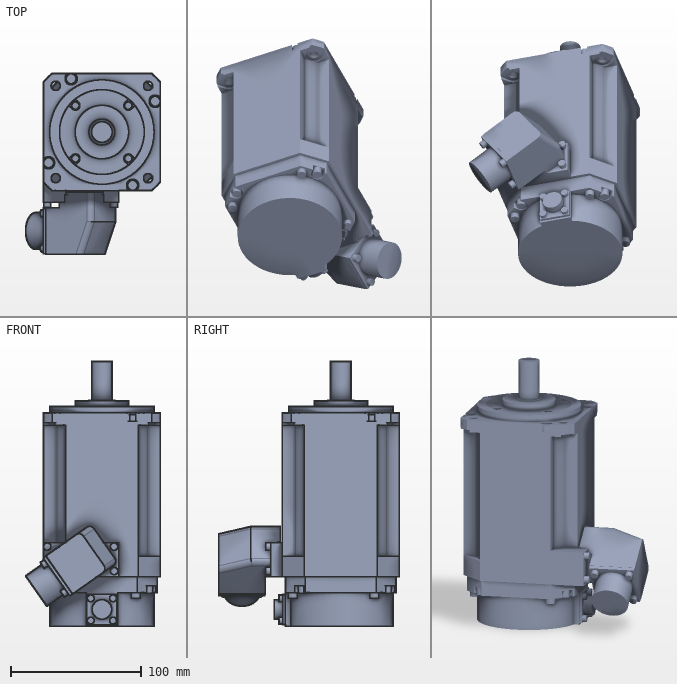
import cadquery as cq
import math

total_height = 203.5
frame_size = 90.0
frame_half = frame_size / 2
shaft_radius = 8.0
collar_radius = 10.0
boss_radius = 20.5
pilot_radius = 40.0
cover_radius = pilot_radius
frame_corner_radius = 59.0

cover_top = 25.8
rear_plate_top = 38.0
frame_top = 163.8
pilot_top = 169.0
boss_top = 173.2
collar_top = 173.8

rear_plate_size = 85.0
rear_plate_half = rear_plate_size / 2
rear_plate_chamfer = 15.3

pocket_leg = 17.0
pocket_top = 154.5
pocket_bottom = 53.7
pocket_fillet = 1.6
stator_radius = frame_half
foot_chamfer = pocket_leg

mount_offset = 35.5
mount_radius = 3.5
spot_radius = 6.3
spot_top = 156.3

flange_screw_at = (23.6, -41.0)
counterbore_radius = 4.7
counterbore_floor = 157.5
flange_head_radius = 3.9
flange_head_height = 5.0

disc_radius = 32.5
disc_recess = 0.5
disc_screw_circle = 28.7
disc_slot_radius = 3.5
disc_slot_depth = 1.2
disc_head_radius = 2.8
disc_head_height = 0.6

notch_screw_at = (35.5, -29.0)
notch_radius = 4.9
notch_top = 31.1
rear_head_radius = 3.5
notch_head_bottom = 25.5
hanging_screw_at = (36.8, 25.8)
hanging_head_bottom = 21.5

signal_block_width = 24.0
signal_block_face = -rear_plate_half
signal_plate_size = 23.2
signal_plate_face = -44.5
signal_z = 13.0
signal_plug_radius = 7.5
signal_plug_face = -51.3
signal_screw_offset = 8.5
signal_head_radius = 2.6
signal_head_face = -47.6

base_right = 13.0
base_top = 64.3
base_face = -54.0
base_screw_x = (-42.0, 9.4)
base_screw_z = (42.5, 61.3)
head_radius = 2.8
head_height = 3.9

elbow_tilt = 35.0
elbow_origin = (-32.8, 0, 39.5)
elbow_width = 35.8
elbow_back = -58.0
elbow_front = elbow_back - elbow_width
elbow_axis_y = (elbow_back + elbow_front) / 2
elbow_length = 42.3
elbow_front_length = 32.4
slope_start_y = -69.0
neck_left = -32.8
neck_back = -46.4
neck_clearance = 0.6
neck_clearance_depth = 1.6
elbow_fillet = 4.0
elbow_plate_size = 35.5
elbow_plate_thickness = 2.6
plug_radius = 14.2
plug_length = 19.0
plug_screw_offset = 13.5


def cylinder_z(radius, bottom, top, at=(0, 0)):
    return cq.Workplane("XY", origin=(at[0], at[1], bottom)).circle(radius).extrude(top - bottom)


def cylinder_y(radius, back, front, x, z):
    """Cylinder running from y = back towards -Y, to y = front."""
    return cq.Workplane("XZ", origin=(x, back, z)).circle(radius).extrude(back - front)


def box_between(low, high):
    size = [b - a for a, b in zip(low, high)]
    return cq.Workplane("XY").box(*size, centered=False).translate(low)


def square_bar(size, bottom, top):
    return cq.Workplane("XY", origin=(0, 0, bottom)).rect(size, size).extrude(top - bottom)


def turned(shape, quarter):
    return shape.rotate((0, 0, 0), (0, 0, 1), 90 * quarter)


def open_slot(at, radius, length, angle, bottom, top):
    """Slot with one round end at the given point, running outwards at the given angle."""
    slot = cq.Workplane("XY", origin=(0, 0, bottom)).rect(length, 2 * radius).extrude(top - bottom)
    slot = slot.translate((length / 2, 0, 0)).union(cylinder_z(radius, bottom, top))
    return slot.rotate((0, 0, 0), (0, 0, 1), angle).translate((at[0], at[1], 0))


def make_frame():
    frame = square_bar(frame_size, rear_plate_top, frame_top)
    for quarter in range(4):
        at_base = quarter == 2
        bottom = base_top if at_base else pocket_bottom
        frame = frame.cut(turned(make_pocket(bottom), quarter))
        if not at_base:
            frame = frame.cut(turned(make_foot_chamfer(), quarter))
    return frame.intersect(cylinder_z(frame_corner_radius, pocket_top, frame_top).union(
        square_bar(frame_size, rear_plate_top, pocket_top)))


def make_pocket(bottom):
    """Corner recess at (+X, +Y), with the round stator left standing."""
    inner = frame_half - pocket_leg
    corner = box_between((inner, inner, bottom), (frame_half, frame_half, pocket_top))
    pocket = corner.cut(cylinder_z(stator_radius, bottom, pocket_top))
    reach = math.sqrt(stator_radius**2 - inner**2)
    for x, y in ((inner, reach), (reach, inner)):
        corner_edge = cq.selectors.NearestToPointSelector((x, y, (bottom + pocket_top) / 2))
        pocket = pocket.edges("|Z").edges(corner_edge).fillet(pocket_fillet)
    return pocket


def make_foot_chamfer():
    corner = (frame_half, frame_half)
    return (
        cq.Workplane("XY", origin=(0, 0, rear_plate_top))
        .polyline([corner, (frame_half - foot_chamfer, frame_half), (frame_half, frame_half - foot_chamfer)])
        .close()
        .extrude(pocket_bottom - rear_plate_top)
    )


def make_front_end():
    front = cylinder_z(pilot_radius, frame_top, pilot_top)
    disc_top = pilot_top - disc_recess
    front = front.cut(cylinder_z(disc_radius, disc_top, pilot_top))
    slot_floor = disc_top - disc_slot_depth
    ring_bore = cylinder_z(disc_radius, slot_floor, disc_top)
    for angle in range(45, 360, 90):
        x = disc_screw_circle * math.cos(math.radians(angle))
        y = disc_screw_circle * math.sin(math.radians(angle))
        slot = open_slot((x, y), disc_slot_radius, 2 * disc_slot_radius, angle, slot_floor, disc_top)
        front = front.cut(slot.intersect(ring_bore))
        front = front.union(cylinder_z(disc_head_radius, slot_floor, slot_floor + disc_head_height, (x, y)))
    front = front.union(cylinder_z(boss_radius, frame_top, boss_top))
    front = front.union(cylinder_z(collar_radius, boss_top, collar_top))
    return front.union(cylinder_z(shaft_radius, boss_top, total_height))


def add_flange_fixings(body):
    head_top = counterbore_floor + flange_head_height
    for quarter in range(4):
        corner = (mount_offset, mount_offset)
        hole = cylinder_z(mount_radius, pocket_top, frame_top, corner)
        spot = open_slot(corner, spot_radius, frame_half, 45, pocket_top, spot_top)
        bore = cylinder_z(counterbore_radius, counterbore_floor, frame_top, flange_screw_at)
        head = cylinder_z(flange_head_radius, counterbore_floor, head_top, flange_screw_at)
        for cutter in (hole, spot, bore):
            body = body.cut(turned(cutter, quarter))
        body = body.union(turned(head, quarter))
    return body


def make_rear_end():
    plate = square_bar(rear_plate_size, cover_top, rear_plate_top).edges("|Z").chamfer(rear_plate_chamfer)
    notch = open_slot(notch_screw_at, notch_radius, rear_plate_half, -45, cover_top, notch_top)
    notch_head = cylinder_z(rear_head_radius, notch_head_bottom, notch_top, notch_screw_at)
    hanging_head = cylinder_z(rear_head_radius, hanging_head_bottom, cover_top, hanging_screw_at)
    for quarter in range(4):
        plate = plate.cut(turned(notch, quarter))
        plate = plate.union(turned(notch_head, quarter))
        plate = plate.union(turned(hanging_head, quarter))
    return plate.union(cylinder_z(cover_radius, 0, cover_top))


def make_signal_connector():
    half_block = signal_block_width / 2
    half_plate = signal_plate_size / 2
    block = box_between((-half_block, signal_block_face, 0), (half_block, 0, cover_top))
    plate = box_between(
        (-half_plate, signal_plate_face, signal_z - half_plate),
        (half_plate, signal_block_face, signal_z + half_plate),
    )
    connector = block.union(plate)
    connector = connector.union(
        cylinder_y(signal_plug_radius, signal_plate_face, signal_plug_face, 0, signal_z))
    for x in (-signal_screw_offset, signal_screw_offset):
        for dz in (-signal_screw_offset, signal_screw_offset):
            connector = connector.union(
                cylinder_y(signal_head_radius, signal_plate_face, signal_head_face, x, signal_z + dz))
    return connector


def make_terminal_base():
    base = box_between((-frame_half, base_face, rear_plate_top), (base_right, -frame_half, base_top))
    for x in base_screw_x:
        for z in base_screw_z:
            base = base.union(cylinder_y(head_radius, base_face, base_face - head_height, x, z))
    return base


def make_elbow():
    """Elbow housing, lying along +X before it is tilted."""
    side_profile = [
        (0, neck_back),
        (elbow_length, neck_back),
        (elbow_length, slope_start_y),
        (elbow_front_length, elbow_front),
        (0, elbow_front),
    ]
    housing = (
        cq.Workplane("XY", origin=(0, 0, -elbow_width / 2))
        .polyline(side_profile)
        .close()
        .extrude(elbow_width)
    )
    straight_y = (neck_back + slope_start_y) / 2
    slope_x = (elbow_length + elbow_front_length) / 2
    slope_y = (slope_start_y + elbow_front) / 2
    for side in (-elbow_width / 2, elbow_width / 2):
        near_straight = cq.selectors.NearestToPointSelector((elbow_length, straight_y, side))
        near_slope = cq.selectors.NearestToPointSelector((slope_x, slope_y, side))
        straight_edge = housing.edges(near_straight).vals()
        slope_edge = housing.edges(near_slope).vals()
        housing = housing.newObject(straight_edge + slope_edge).fillet(elbow_fillet)

    plate = cq.Workplane("YZ", origin=(0, elbow_axis_y, 0)).rect(elbow_plate_size, elbow_plate_size)
    housing = housing.union(plate.extrude(-elbow_plate_thickness))
    plate_face = cq.Workplane("YZ", origin=(-elbow_plate_thickness, elbow_axis_y, 0))
    housing = housing.union(plate_face.circle(plug_radius).extrude(-plug_length))
    heads = plate_face.rect(2 * plug_screw_offset, 2 * plug_screw_offset, forConstruction=True).vertices()
    housing = housing.union(heads.circle(head_radius).extrude(-head_height))

    elbow = housing.rotate((0, 0, 0), (0, 1, 0), -elbow_tilt).translate(elbow_origin)
    below_neck = box_between((-frame_half, elbow_back, 0), (frame_half, neck_back, rear_plate_top))
    beside_neck = box_between((-frame_size, elbow_back, 0), (neck_left, neck_back, frame_top))
    clearance = box_between(
        (-frame_half, neck_back - neck_clearance_depth, rear_plate_top),
        (frame_half, neck_back, base_top + neck_clearance),
    )
    return elbow.cut(below_neck).cut(beside_neck).cut(clearance)


result = make_frame().union(make_front_end())
result = add_flange_fixings(result)
for section in (make_rear_end(), make_signal_connector(), make_terminal_base(), make_elbow()):
    result = result.union(section)